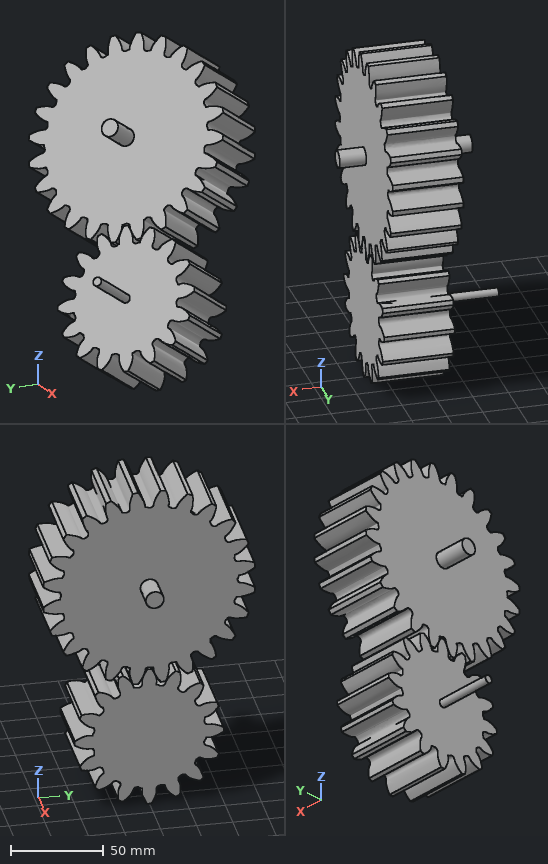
import cadquery as cq
import math

overall_height = 191.5

large_teeth = 24
large_pitch_diameter = 108.0
gear_module = large_pitch_diameter / large_teeth
pressure_angle = math.radians(20)
dedendum_in_modules = 1.25
root_rounding = 2.0
flank_points = 7
face_width = 40.0

large_shift = 0.5
large_shaft_diameter = 10.0
large_shaft_front = 20.0
large_shaft_back = 15.0

small_teeth = 16
small_shift = 0.8
small_shaft_diameter = 5.0
small_shaft_front = 35.5


def involute(angle):
    return math.tan(angle) - angle


def pitch_radius(teeth):
    return gear_module * teeth / 2


def base_radius(teeth):
    return pitch_radius(teeth) * math.cos(pressure_angle)


def root_radius(teeth, shift):
    return pitch_radius(teeth) - dedendum_in_modules * gear_module + shift


def tip_radius(teeth, shift):
    return pitch_radius(teeth) + gear_module + shift


def half_tooth_angle(teeth, shift, radius):
    """Angle from the tooth middle to its flank, at a radius on or outside the base circle."""
    half_width = math.pi * gear_module / 4 + shift * math.tan(pressure_angle)
    roll_angle = math.acos(base_radius(teeth) / radius)
    return half_width / pitch_radius(teeth) + involute(pressure_angle) - involute(roll_angle)


def polar(radius, angle):
    """Point in the YZ plane, with the angle measured from +Z toward -Y."""
    return (-radius * math.sin(angle), radius * math.cos(angle))


def gear_blank(teeth, shift, first_tooth_angle):
    """Toothed disc around the X axis, from X = 0 to X = face_width."""
    pitch_angle = 2 * math.pi / teeth
    base = base_radius(teeth)
    root = root_radius(teeth, shift)
    tip = tip_radius(teeth, shift)
    base_half_angle = half_tooth_angle(teeth, shift, base)

    flank = []
    for i in range(flank_points):
        step = i / (flank_points - 1)
        radius = math.sqrt(base**2 + step**2 * (tip**2 - base**2))
        flank.append((radius, half_tooth_angle(teeth, shift, radius)))

    flank_turn = math.sqrt(tip**2 - base**2) / base

    corner_inset = root_rounding * (1 - math.sqrt(0.5))

    outline = cq.Workplane("YZ").moveTo(*polar(base, first_tooth_angle - base_half_angle))
    for i in range(teeth):
        middle = first_tooth_angle + i * pitch_angle
        rising = [polar(radius, middle - half_angle) for radius, half_angle in flank]
        falling = [polar(radius, middle + half_angle) for radius, half_angle in reversed(flank)]
        gap_start = middle + base_half_angle
        gap_end = middle + pitch_angle - base_half_angle
        gap = [
            polar(root + corner_inset, gap_start + corner_inset / root),
            polar(root, middle + pitch_angle / 2),
            polar(root + corner_inset, gap_end - corner_inset / root),
            polar(base, gap_end),
        ]
        rising_directions = [
            cq.Vector(*polar(1, middle - base_half_angle)),
            cq.Vector(*polar(1, middle - base_half_angle + flank_turn)),
        ]
        falling_directions = [
            -cq.Vector(*polar(1, middle + base_half_angle - flank_turn)),
            -cq.Vector(*polar(1, middle + base_half_angle)),
        ]
        gap_directions = [-cq.Vector(*polar(1, gap_start)), cq.Vector(*polar(1, gap_end))]
        outline = (
            outline.spline(rising[1:], tangents=rising_directions, includeCurrent=True)
            .threePointArc(polar(tip, middle), falling[0])
            .spline(falling[1:], tangents=falling_directions, includeCurrent=True)
            .spline(gap, tangents=gap_directions, includeCurrent=True)
        )
    return outline.close().extrude(face_width)


def shaft(diameter, start, end):
    return cq.Workplane("YZ", origin=(start, 0, 0)).circle(diameter / 2).extrude(end - start)


large_tip = tip_radius(large_teeth, large_shift)
half_large_pitch = math.pi / large_teeth
large_top = large_tip * math.cos(half_large_pitch - half_tooth_angle(large_teeth, large_shift, large_tip))
center_distance = overall_height - large_top - tip_radius(small_teeth, small_shift)

large_gear = gear_blank(large_teeth, large_shift, half_large_pitch).union(
    shaft(large_shaft_diameter, -large_shaft_front, face_width + large_shaft_back)
)

small_gear = (
    gear_blank(small_teeth, small_shift, 0)
    .union(shaft(small_shaft_diameter, -small_shaft_front, face_width))
    .translate((0, 0, -center_distance))
)

result = cq.Compound.makeCompound([large_gear.solids().val(), small_gear.solids().val()])